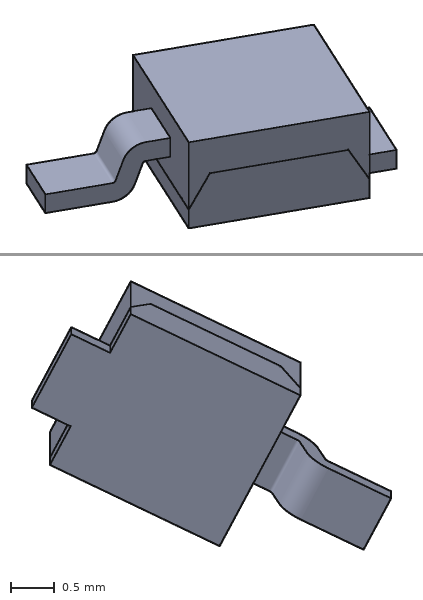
import cadquery as cq
import math

package_width = 2.05
package_length = 2.178
package_height = 1.15

metal_thickness = 0.25
tab_width = 1.0
tab_length = 0.497
wall_thickness = 0.25
wall_top = 0.69
wall_end_run = 0.255

lead_width = 0.7
lead_reach = 4.18 - package_length - tab_length
lead_foot_bottom = 0.1
lead_top = 0.825
lead_shoulder = 0.293
bend_inner_radius = 0.04
bend_angle = math.radians(70)


def make_base():
    floor = cq.Workplane("XY").box(
        package_width, package_length, metal_thickness, centered=(True, False, False)
    )
    tab = (
        cq.Workplane("XY")
        .box(tab_width, tab_length, metal_thickness, centered=(True, False, False))
        .translate((0, package_length, 0))
    )
    base = floor.union(tab)
    for wall_start in (-package_width / 2, package_width / 2 - wall_thickness):
        wall = (
            cq.Workplane("YZ", origin=(wall_start, 0, 0))
            .moveTo(0, metal_thickness)
            .lineTo(package_length, metal_thickness)
            .lineTo(package_length - wall_end_run, wall_top)
            .lineTo(wall_end_run, wall_top)
            .close()
            .extrude(wall_thickness)
        )
        base = base.union(wall)
    return base


def make_housing(base):
    """Block that fills the package envelope around the base."""
    envelope = cq.Workplane("XY").box(
        package_width, package_length, package_height, centered=(True, False, False)
    )
    return envelope.cut(base)


def bend_point(center, radius, angle):
    """Point on a bend, at an angle from vertical toward the lead tip."""
    return (
        center[0] - radius * math.sin(angle),
        center[1] + radius * math.cos(angle),
    )


def make_lead():
    inner = bend_inner_radius
    outer = inner + metal_thickness
    center_drop = lead_top - metal_thickness - lead_foot_bottom
    bend_drop = (inner + outer) * (1 - math.cos(bend_angle))
    slope_run = (center_drop - bend_drop) / math.tan(bend_angle)
    bends_run = (inner + outer) * math.sin(bend_angle)

    upper_center = (-lead_shoulder, lead_top - outer)
    lower_center = (-lead_shoulder - bends_run - slope_run, lead_foot_bottom + outer)
    half_angle = bend_angle / 2
    lower_end = math.pi + bend_angle
    lower_middle = math.pi + half_angle

    return (
        cq.Workplane("YZ", origin=(-lead_width / 2, 0, 0))
        .moveTo(0, lead_top)
        .lineTo(*bend_point(upper_center, outer, 0))
        .threePointArc(
            bend_point(upper_center, outer, half_angle),
            bend_point(upper_center, outer, bend_angle),
        )
        .lineTo(*bend_point(lower_center, inner, lower_end))
        .threePointArc(
            bend_point(lower_center, inner, lower_middle),
            bend_point(lower_center, inner, math.pi),
        )
        .lineTo(-lead_reach, lead_foot_bottom + metal_thickness)
        .lineTo(-lead_reach, lead_foot_bottom)
        .lineTo(*bend_point(lower_center, outer, math.pi))
        .threePointArc(
            bend_point(lower_center, outer, lower_middle),
            bend_point(lower_center, outer, lower_end),
        )
        .lineTo(*bend_point(upper_center, inner, bend_angle))
        .threePointArc(
            bend_point(upper_center, inner, half_angle),
            bend_point(upper_center, inner, 0),
        )
        .lineTo(0, lead_top - metal_thickness)
        .close()
        .extrude(lead_width)
    )


base = make_base()
housing = make_housing(base)
lead = make_lead()

result = cq.Compound.makeCompound([base.val(), housing.val(), lead.val()])